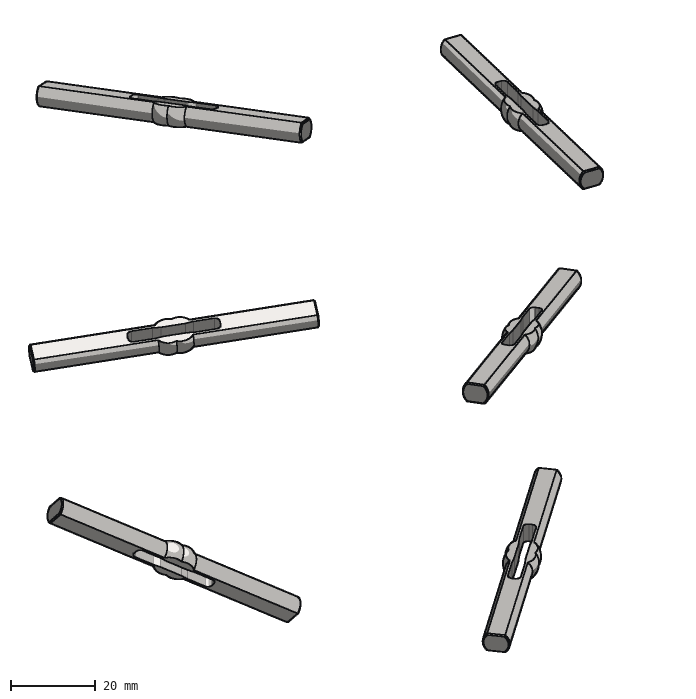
import cadquery as cq

bar_length = 68.75
bar_diameter = 6.6
thickness = 5.0
end_chamfer = 0.3

grip_diameter = 8.6
sphere_offset = 1.45

slot_length = 22.3
slot_width = 3.1
slot_corner_radius = 1.1
pinch_width = 2.7
pinch_length = 5.9
ramp_length = 2.0


def make_body():
    """Rod with the grip spheres, cut to thickness by the flats and chamfered at both ends."""
    body = cq.Workplane("YZ").circle(bar_diameter / 2).extrude(bar_length / 2, both=True)
    for side in (-1, 1):
        sphere = cq.Workplane("XY").sphere(grip_diameter / 2)
        body = body.union(sphere.translate((side * sphere_offset, 0, 0)))
    slab = cq.Workplane("XY").box(bar_length, grip_diameter, thickness)
    return body.intersect(slab).faces("<X or >X").chamfer(end_chamfer)


def make_slot():
    """Cutter for the slot, with rounded end corners and ramps leading to the pinch."""
    end_x = slot_length / 2
    wide_y = slot_width / 2
    pinch_x = pinch_length / 2
    pinch_y = pinch_width / 2
    ramp_x = pinch_x + ramp_length
    upper_side = [
        (-end_x, wide_y),
        (-ramp_x, wide_y),
        (-pinch_x, pinch_y),
        (pinch_x, pinch_y),
        (ramp_x, wide_y),
        (end_x, wide_y),
    ]
    lower_side = [(-x, -y) for x, y in upper_side]
    outline = cq.Workplane("XY").polyline(upper_side + lower_side).close()
    slot = outline.extrude(thickness, both=True)
    return slot.edges("|Z and (<X or >X)").fillet(slot_corner_radius)


result = make_body().cut(make_slot())